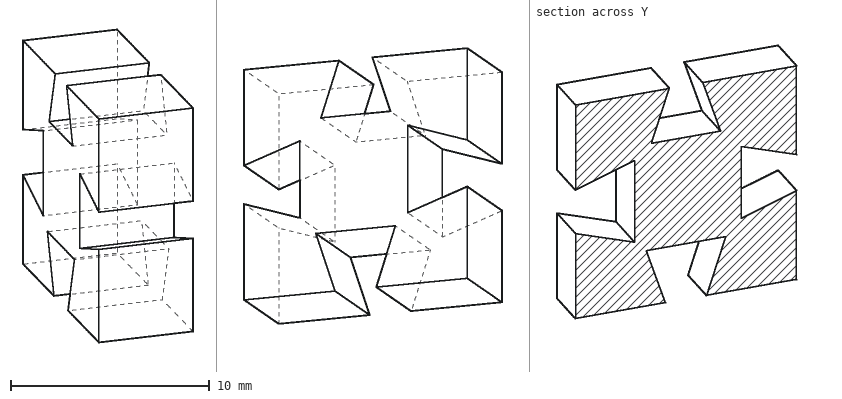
import cadquery as cq
import math

SIDE = 12.0
THICKNESS = 5.0

NOMINAL_MOUTH = 2.0
NOMINAL_FLOOR = 4.0
NOMINAL_DEPTH = 3.0

CLEARANCE_STEP = 0.1
FIRST_CLEARANCE = -CLEARANCE_STEP
SLOT_COUNT = 4
SLOT_PITCH_ANGLE = 360.0 / SLOT_COUNT

WALL_SLOPE = (NOMINAL_FLOOR - NOMINAL_MOUTH) / 2 / NOMINAL_DEPTH


def make_block():
    """Square plate, centred on the origin, with its thickness along Y."""
    return cq.Workplane("XY").box(SIDE, THICKNESS, SIDE)


def make_dovetail(clearance):
    """Dovetail cutter for the top edge, running through the full thickness."""
    depth = NOMINAL_DEPTH + clearance
    half_mouth = NOMINAL_MOUTH / 2 + clearance * math.hypot(1, WALL_SLOPE)
    half_floor = half_mouth + depth * WALL_SLOPE
    top_z = SIDE / 2
    floor_z = top_z - depth
    outline = [
        (-half_mouth, top_z),
        (half_mouth, top_z),
        (half_floor, floor_z),
        (-half_floor, floor_z),
    ]
    return cq.Workplane("XZ").polyline(outline).close().extrude(THICKNESS / 2, both=True)


def cut_slots(block):
    """Cut the slots in order of clearance: top, +X, bottom and -X edges."""
    for index in range(SLOT_COUNT):
        cutter = make_dovetail(FIRST_CLEARANCE + index * CLEARANCE_STEP)
        block = block.cut(cutter.rotate((0, 0, 0), (0, 1, 0), index * SLOT_PITCH_ANGLE))
    return block


result = cut_slots(make_block())